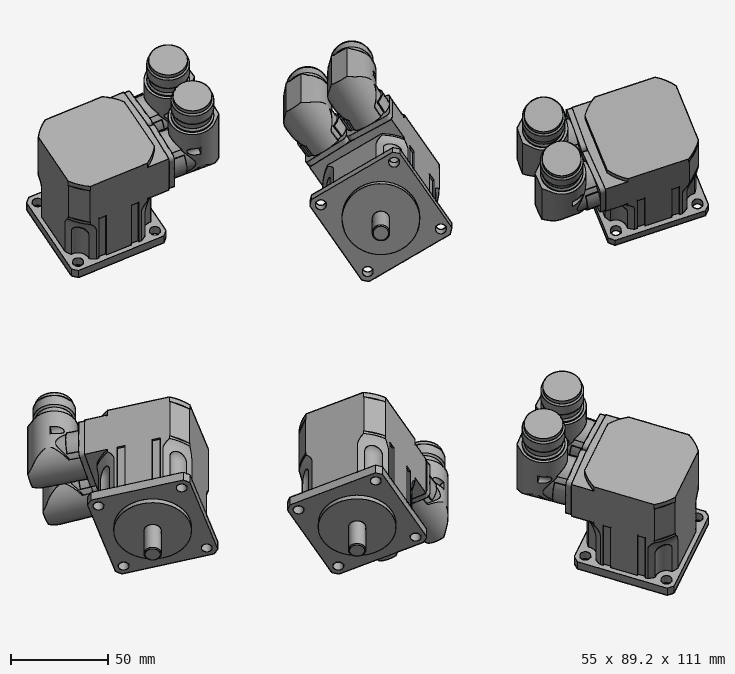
import cadquery as cq
import math


FLANGE_SIDE = 55.0
FLANGE_CORNER_DIAMETER = 73.9
FLANGE_THICKNESS = 5.8
PILOT_DIAMETER = 40
PILOT_HEIGHT = 2.8
SHAFT_DIAMETER = 9.0
SHAFT_END_Z = -20.3
SHAFT_CHAMFER = 0.5
MOUNT_HOLE_DIAMETER = 5.5
MOUNT_HOLE_OFFSET = 22.3

BODY_SIDE = 50
BODY_TOP_Z = 66.7
BODY_CORNER_RADIUS = 30
COLUMN_CORNER_RADIUS = 28.2
COLUMN_FLARE_RADIUS = 14.0
COLUMN_TOP_Z = 35.9
CLEARANCE_RADIUS = 6.1
CLEARANCE_DOME_Z = 24.6
SIDE_GROOVE_INNER = 7.3
SIDE_GROOVE_OUTER = 11.5
SIDE_GROOVE_DEPTH = 0.9

BLOCK_BOTTOM_Z = 37.7
BLOCK_TOP_Z = 63.3
BLOCK_CORNER_CHAMFER = 8.1

CONNECTOR_ANGLE = 2
OUTLET_X = 12.8
OUTLET_Y = 29.4
OUTLET_Z = 50.7

PLATE_WIDTH = 2 * OUTLET_X
PLATE_THICKNESS = 3.0
PLATE_CORNER_RADIUS = 2.7

ELBOW_RADIUS = 12.8
ELBOW_CORE_RADIUS = 11.9
ELBOW_GROOVE_ANGLE = 45
ELBOW_GROOVE_SPAN = 15
SIDE_PAD_LENGTH = 10

TOWER_DISTANCE = 19.3
TOWER_RADIUS = 12.4
TOWER_BACK = 12.9
TOWER_SEAM = 1.0
TOWER_SHOULDER_ANGLE = 49.5
TOWER_TOP_Z = 74.4
SCREW_POCKET_RADIUS = 2.5
SCREW_POCKET_X = 12.2
SCREW_POCKET_RISE = 9.7

NECK_DIAMETER = 20
COLLAR_DIAMETER = 22.0
BASE_RING_TOP_Z = 75.1
NECK_BOTTOM_Z = 76.3
NECK_TOP_Z = 79.8
COLLAR_BOTTOM_Z = 80.8
COLLAR_TOP_Z = 87.6
CAP_BOTTOM_Z = 88.4
CAP_TOP_Z = 90.7


def square_prism(side, bottom, top):
    return cq.Workplane("XY").workplane(offset=bottom).rect(side, side).extrude(top - bottom)


def cylinder(radius, bottom, top):
    return cq.Workplane("XY").workplane(offset=bottom).circle(radius).extrude(top - bottom)


def corner_points(offset):
    return [(sx * offset, sy * offset) for sx in (-1, 1) for sy in (-1, 1)]


def make_flange_and_shaft():
    flange = square_prism(FLANGE_SIDE, 0, FLANGE_THICKNESS).intersect(
        cylinder(FLANGE_CORNER_DIAMETER / 2, 0, FLANGE_THICKNESS)
    )
    holes = (
        cq.Workplane("XY")
        .pushPoints(corner_points(MOUNT_HOLE_OFFSET))
        .circle(MOUNT_HOLE_DIAMETER / 2)
        .extrude(FLANGE_THICKNESS)
    )
    pilot = cylinder(PILOT_DIAMETER / 2, -PILOT_HEIGHT, 0)
    shaft = cylinder(SHAFT_DIAMETER / 2, SHAFT_END_Z, 0).faces("<Z").chamfer(SHAFT_CHAMFER)
    return flange.cut(holes).union(pilot).union(shaft)


def make_column():
    """Square column whose round corners flare out to the body corner radius near the top."""
    flare_step = BODY_CORNER_RADIUS - COLUMN_CORNER_RADIUS
    flare_angle = math.acos(1 - flare_step / COLUMN_FLARE_RADIUS)
    flare_start_z = COLUMN_TOP_Z - COLUMN_FLARE_RADIUS * math.sin(flare_angle)
    flare_middle = (
        COLUMN_CORNER_RADIUS + COLUMN_FLARE_RADIUS * (1 - math.cos(flare_angle / 2)),
        flare_start_z + COLUMN_FLARE_RADIUS * math.sin(flare_angle / 2),
    )
    corner_envelope = (
        cq.Workplane("XZ")
        .moveTo(0, FLANGE_THICKNESS)
        .lineTo(COLUMN_CORNER_RADIUS, FLANGE_THICKNESS)
        .lineTo(COLUMN_CORNER_RADIUS, flare_start_z)
        .threePointArc(flare_middle, (BODY_CORNER_RADIUS, COLUMN_TOP_Z))
        .lineTo(BODY_CORNER_RADIUS, BLOCK_BOTTOM_Z)
        .lineTo(0, BLOCK_BOTTOM_Z)
        .close()
        .revolve(360, (0, 0, 0), (0, 1, 0))
    )
    return square_prism(BODY_SIDE, FLANGE_THICKNESS, BLOCK_BOTTOM_Z).intersect(corner_envelope)


def make_connector_block():
    """Block that reaches back to two mating faces, which meet in a shallow ridge at x = 0."""
    half = BODY_SIDE / 2
    slope = math.tan(math.radians(CONNECTOR_ANGLE))
    ridge_y = OUTLET_Y + OUTLET_X * slope
    side_y = ridge_y - half * slope
    outline = [
        (-half + BLOCK_CORNER_CHAMFER, -half),
        (half - BLOCK_CORNER_CHAMFER, -half),
        (half, -half + BLOCK_CORNER_CHAMFER),
        (half, side_y),
        (0, ridge_y),
        (-half, side_y),
        (-half, -half + BLOCK_CORNER_CHAMFER),
    ]
    return (
        cq.Workplane("XY")
        .workplane(offset=BLOCK_BOTTOM_Z)
        .polyline(outline)
        .close()
        .extrude(BLOCK_TOP_Z - BLOCK_BOTTOM_Z)
    )


def make_body_cap():
    return square_prism(BODY_SIDE, BLOCK_TOP_Z, BODY_TOP_Z).intersect(
        cylinder(BODY_CORNER_RADIUS, BLOCK_TOP_Z, BODY_TOP_Z)
    )


def make_screw_clearance(x, y):
    dome = cq.Workplane("XY").sphere(CLEARANCE_RADIUS).translate((0, 0, CLEARANCE_DOME_Z))
    channel = cylinder(CLEARANCE_RADIUS, FLANGE_THICKNESS, CLEARANCE_DOME_Z)
    return channel.union(dome).translate((x, y, 0))


def make_side_grooves():
    groove_width = SIDE_GROOVE_OUTER - SIDE_GROOVE_INNER
    groove_y = (SIDE_GROOVE_OUTER + SIDE_GROOVE_INNER) / 2
    side = BODY_SIDE / 2
    return (
        cq.Workplane("XY")
        .workplane(offset=FLANGE_THICKNESS)
        .pushPoints([(sx * side, sy * groove_y) for sx in (-1, 1) for sy in (-1, 1)])
        .rect(2 * SIDE_GROOVE_DEPTH, groove_width)
        .extrude(BLOCK_BOTTOM_Z - FLANGE_THICKNESS)
    )


def make_motor():
    column = make_column().cut(make_side_grooves())
    for x, y in corner_points(MOUNT_HOLE_OFFSET):
        column = column.cut(make_screw_clearance(x, y))
    return make_flange_and_shaft().union(column).union(make_connector_block()).union(make_body_cap())




def outlet_cylinder(radius, start, end):
    return cq.Workplane("XZ").workplane(offset=-end).circle(radius).extrude(end - start)


def outlet_sector(middle_angle, half_angle, start, end):
    """Wedge along the outlet axis, large enough to reach past the elbow surface."""
    reach = 2 * ELBOW_RADIUS
    rays = [math.radians(middle_angle + side * half_angle) for side in (-1, 1)]
    points = [(0, 0)] + [(reach * math.cos(ray), reach * math.sin(ray)) for ray in rays]
    return cq.Workplane("XZ").workplane(offset=-end).polyline(points).close().extrude(end - start)


def make_plate():
    return (
        cq.Workplane("XY")
        .box(PLATE_WIDTH, PLATE_THICKNESS, PLATE_WIDTH)
        .edges("|Y")
        .fillet(PLATE_CORNER_RADIUS)
        .translate((0, PLATE_THICKNESS / 2, 0))
    )


def make_outlet():
    """Horizontal arm of the elbow: a core with a top land, a bottom land and two side pads."""
    arm = outlet_cylinder(ELBOW_CORE_RADIUS, 0, TOWER_DISTANCE)
    half_angle = ELBOW_GROOVE_ANGLE - ELBOW_GROOVE_SPAN / 2
    for middle_angle, length in (
        (0, SIDE_PAD_LENGTH),
        (90, TOWER_DISTANCE),
        (180, SIDE_PAD_LENGTH),
        (270, TOWER_DISTANCE),
    ):
        sector = outlet_sector(middle_angle, half_angle, 0, length)
        arm = arm.union(outlet_cylinder(ELBOW_RADIUS, 0, length).intersect(sector))
    return arm


def tower_prism(bottom, top):
    """Round at the front, with a flat back joined to the round by two 45 degree faces."""
    angle = math.radians(TOWER_SHOULDER_ANGLE)
    shoulder_x = TOWER_RADIUS * math.cos(angle)
    shoulder_y = TOWER_RADIUS * math.sin(angle)
    side_x = TOWER_RADIUS * math.cos(angle / 2)
    side_y = TOWER_RADIUS * math.sin(angle / 2)
    back_half_width = shoulder_x + shoulder_y - TOWER_BACK
    return (
        cq.Workplane("XY")
        .workplane(offset=bottom)
        .moveTo(TOWER_RADIUS, -TOWER_SEAM)
        .threePointArc((side_x, side_y), (shoulder_x, shoulder_y))
        .lineTo(back_half_width, TOWER_BACK)
        .lineTo(-back_half_width, TOWER_BACK)
        .lineTo(-shoulder_x, shoulder_y)
        .threePointArc((-side_x, side_y), (-TOWER_RADIUS, -TOWER_SEAM))
        .threePointArc((0, -TOWER_RADIUS), (TOWER_RADIUS, -TOWER_SEAM))
        .close()
        .extrude(top - bottom)
        .translate((0, TOWER_DISTANCE, 0))
    )


def make_tower():
    """Vertical arm of the elbow; its lower end is rounded by the outlet cylinder."""
    seam_y = TOWER_DISTANCE - TOWER_SEAM
    heel_end = TOWER_DISTANCE + TOWER_BACK
    heel = tower_prism(-ELBOW_RADIUS, 0).intersect(outlet_cylinder(ELBOW_RADIUS, 0, heel_end))
    tower = tower_prism(0, TOWER_TOP_Z - OUTLET_Z).union(heel)
    for side in (-1, 1):
        pocket = outlet_cylinder(SCREW_POCKET_RADIUS, PLATE_THICKNESS, seam_y)
        tower = tower.cut(pocket.translate((side * SCREW_POCKET_X, 0, SCREW_POCKET_RISE)))
    return tower


def make_coupling():
    neck = NECK_DIAMETER / 2
    collar = COLLAR_DIAMETER / 2
    profile = [
        (0, TOWER_TOP_Z),
        (collar, TOWER_TOP_Z),
        (collar, BASE_RING_TOP_Z),
        (neck, NECK_BOTTOM_Z),
        (neck, NECK_TOP_Z),
        (collar, COLLAR_BOTTOM_Z),
        (collar, COLLAR_TOP_Z),
        (neck, CAP_BOTTOM_Z),
        (neck, CAP_TOP_Z),
        (0, CAP_TOP_Z),
    ]
    return (
        cq.Workplane("XZ")
        .polyline(profile)
        .close()
        .revolve(360, (0, 0, 0), (0, 1, 0))
        .translate((0, TOWER_DISTANCE, -OUTLET_Z))
    )


def make_connector(side):
    connector = make_tower().union(make_outlet()).union(make_plate()).union(make_coupling())
    turned = connector.rotate((0, 0, 0), (0, 0, 1), -side * CONNECTOR_ANGLE)
    return turned.translate((side * OUTLET_X, OUTLET_Y, OUTLET_Z))


motor = make_motor()
connectors = [make_connector(side) for side in (-1, 1)]
result = cq.Compound.makeCompound([motor.val(), *[connector.val() for connector in connectors]])